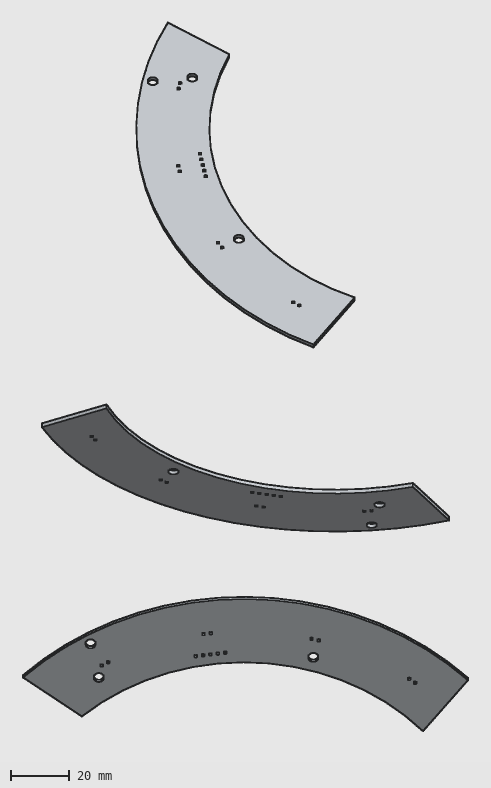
import cadquery as cq
import math

THICKNESS = 1.6
MID_RADIUS = 95.0
BAND_WIDTH = 25.0
OUTER_RADIUS = MID_RADIUS + BAND_WIDTH / 2
INNER_RADIUS = MID_RADIUS - BAND_WIDTH / 2
END_OFFSET = 15.0

MOUNT_DIAMETER = 3.5
MOUNT_CENTRES = [(-85.85, -30.7), (-96.15, -39.55), (-32.45, -81.5)]

PIN_DIAMETER = 1.0
PIN_PITCH = 2.54
PAIR_COUNT = 2
PAIR_RADIUS = 94.65
PAIR_ANGLES = [22.5, 45.0, 67.5, 90.0]
HEADER_COUNT = 5
HEADER_RADIUS = 86.35
HEADER_ANGLE = 45.0


def board():
    """Band between two concentric arcs, cut along X at the top and along Y at the right."""
    outer_reach = math.sqrt(OUTER_RADIUS**2 - END_OFFSET**2)
    inner_reach = math.sqrt(INNER_RADIUS**2 - END_OFFSET**2)
    diagonal = math.sqrt(0.5)
    outer_middle = (-OUTER_RADIUS * diagonal, -OUTER_RADIUS * diagonal)
    inner_middle = (-INNER_RADIUS * diagonal, -INNER_RADIUS * diagonal)
    return (
        cq.Workplane("XY")
        .moveTo(-outer_reach, -END_OFFSET)
        .threePointArc(outer_middle, (END_OFFSET, -outer_reach))
        .lineTo(END_OFFSET, -inner_reach)
        .threePointArc(inner_middle, (-inner_reach, -END_OFFSET))
        .close()
        .extrude(THICKNESS)
    )


def pin_row(radius, angle, count):
    """Centres of a row of pins, centred on the given radius and angle and tangent to the arc."""
    a = math.radians(angle)
    centres = []
    for i in range(count):
        shift = (i - (count - 1) / 2) * PIN_PITCH
        x = -radius * math.cos(a) + shift * math.sin(a)
        y = -radius * math.sin(a) - shift * math.cos(a)
        centres.append((x, y))
    return centres


def through_pegs(centres, diameter):
    """Cylinders through the full thickness, used to cut holes."""
    return cq.Workplane("XY").pushPoints(centres).circle(diameter / 2).extrude(THICKNESS)


pin_centres = pin_row(HEADER_RADIUS, HEADER_ANGLE, HEADER_COUNT)
for pair_angle in PAIR_ANGLES:
    pin_centres += pin_row(PAIR_RADIUS, pair_angle, PAIR_COUNT)

result = (
    board()
    .cut(through_pegs(MOUNT_CENTRES, MOUNT_DIAMETER))
    .cut(through_pegs(pin_centres, PIN_DIAMETER))
)